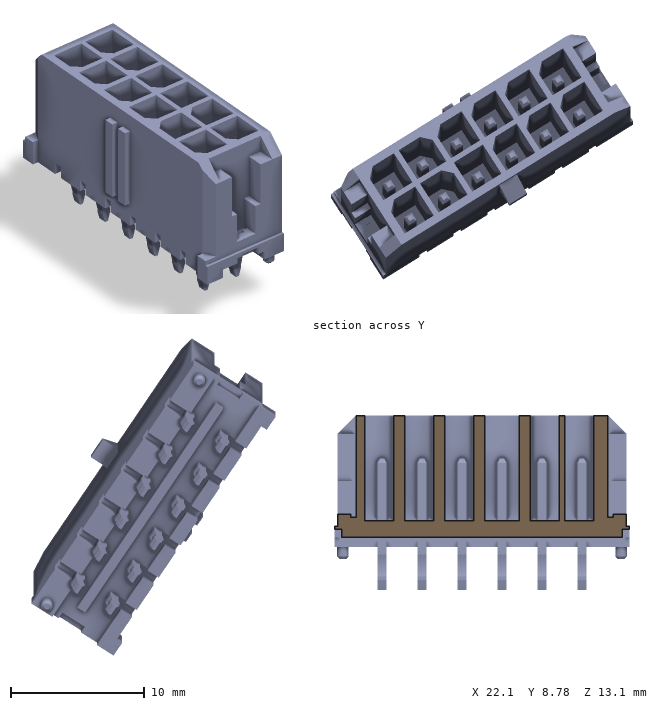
import cadquery as cq


columns = 6
row_length = 15.0
pitch = row_length / (columns - 1)
row_y = pitch / 2

overall_length = 22.15
body_length = 21.68
body_height = 9.9
back_y = 3.37
front_y = -3.5
rib_y = -3.99
body_middle_y = (back_y + front_y) / 2
shoulder_z = 8.5
end_chamfer = body_height - shoulder_z
core_half_length = body_length / 2 - end_chamfer
foot_height = 1.6

bevel_length_x = 0.95
bevel_length_y = 0.53
post_height = 2.0
post_inner_x = body_length / 2 - bevel_length_x

rib_width = 0.82
rib_spacing = 1.53

latch_width = 1.55
latch_reach = 1.42
latch_top = 9.45
latch_lip_top = 8.1
latch_lip_bottom = 7.38
latch_root_bevel = 0.38

end_notch_width = 5.0
upper_slot_width = 2.77
upper_slot_floor = 4.96
lower_slot_width = 1.77
lower_slot_floor = 2.48
pocket_depth = 0.4
pocket_tongue_depth = 0.66
pocket_tongue_width = 0.8
pocket_floor = 2.28
foot_slot_width = 2.02
foot_slot_top = 1.33
foot_slot_depth = 0.53

recess_height = 0.73
recess_back_y = 1.5
recess_front_y = -2.5
keel_width = 0.69
keel_y = -0.02
pin_slot_top = 0.97

cavity_size_x = 2.57
cavity_size_y = 2.61
cavity_shift_y = -0.05
cavity_floor = 2.0
cavity_chamfer = 0.69
back_row_keys = [1, 1, 1, 0, -1, 1]
front_row_keys = [1, 1, 1, 1, -1, 1]

pin_size = 0.69
pin_top = 6.65
pin_tip_height = 0.33
pin_tip_size = 0.33
tail_bottom = -3.2
tail_taper_start = -2.45
bulge_top = -0.55
bulge_bottom = -2.2
bulge = 0.13
tail_end_width = 0.27

peg_x = 10.43
peg_y = 2.41
peg_diameter = 0.86
peg_length = 0.89
peg_chamfer = 0.2


def block(x0, x1, y0, y1, z0, z1):
    """Box between two opposite corners."""
    box = cq.Workplane("XY").box(x1 - x0, y1 - y0, z1 - z0, centered=False)
    return box.translate((x0, y0, z0))


def centred_block(length, y0, y1, z0, z1):
    """Box symmetric about X = 0."""
    return block(-length / 2, length / 2, y0, y1, z0, z1)


def both_ends(shape):
    """The shape together with its mirror image at the other end."""
    return shape.union(shape.mirror("YZ"))


def column_x(column):
    """X of a contact column, counted from the left."""
    return (column - (columns - 1) / 2) * pitch


def housing_block():
    """Body with sloped ends, bevelled front corners, foot plates and corner posts."""
    body = centred_block(body_length, front_y, back_y, 0, body_height)
    body = body.faces(">Z").edges("|Y").chamfer(end_chamfer)
    bevel = (
        cq.Workplane("XY")
        .moveTo(post_inner_x, front_y)
        .lineTo(body_length / 2, front_y)
        .lineTo(body_length / 2, front_y + bevel_length_y)
        .close()
        .extrude(body_height)
    )
    body = body.cut(both_ends(bevel))
    post = block(post_inner_x, body_length / 2, rib_y, front_y + bevel_length_y, 0, post_height)
    foot = block(post_inner_x, overall_length / 2, rib_y, back_y, 0, foot_height)
    return body.union(both_ends(post.union(foot)))


def front_ribs():
    """Pair of upright polarising ribs."""
    inner_x = (rib_spacing - rib_width) / 2
    rib = block(inner_x, inner_x + rib_width, rib_y, front_y, post_height, shoulder_z)
    return both_ends(rib)


def latch():
    """Ramped catch with a bevelled root."""
    return (
        cq.Workplane("YZ")
        .moveTo(back_y, latch_top)
        .lineTo(back_y + latch_reach, latch_lip_top)
        .lineTo(back_y + latch_reach, latch_lip_bottom)
        .lineTo(back_y + latch_root_bevel, latch_lip_bottom)
        .lineTo(back_y, latch_lip_bottom - latch_root_bevel)
        .close()
        .extrude(latch_width / 2, both=True)
    )


def end_slots():
    """Stepped slot in each end with a keyed pocket in its floor, and a shallow notch in the foot below."""

    def slot(depth_start, depth_end, width, z0, z1):
        y0 = body_middle_y - width / 2
        return block(depth_start, depth_end, y0, y0 + width, z0, z1)

    x_in = core_half_length
    x_out = overall_length / 2
    cut = slot(x_in, x_out, end_notch_width, shoulder_z, body_height)
    cut = cut.union(slot(x_in, x_out, upper_slot_width, upper_slot_floor, body_height))
    cut = cut.union(slot(x_in, x_out, lower_slot_width, lower_slot_floor, body_height))
    cut = cut.union(slot(x_in, x_in + pocket_depth, lower_slot_width, pocket_floor, body_height))
    tongue_x = x_in + pocket_tongue_depth
    cut = cut.union(slot(x_in, tongue_x, pocket_tongue_width, pocket_floor, lower_slot_floor))
    cut = cut.union(slot(x_out - foot_slot_depth, x_out, foot_slot_width, 0, foot_slot_top))
    return both_ends(cut)


def underside_recess():
    """Channel along the underside, with one clearance slot per contact at the front and back."""
    recess = centred_block(overall_length, recess_front_y, recess_back_y, 0, recess_height)
    keel_front = keel_y - keel_width / 2
    keel = centred_block(2 * core_half_length, keel_front, keel_front + keel_width, 0, recess_height)
    recess = recess.cut(keel)
    for column in range(columns):
        x = column_x(column)
        for y0, y1 in ((front_y, -row_y), (row_y, back_y)):
            recess = recess.union(block(x - pin_size / 2, x + pin_size / 2, y0, y1, 0, pin_slot_top))
    return recess


def cavity(x, y, key):
    """Square pocket with one front corner filled in by a wedge, unless key is 0."""
    half_x = cavity_size_x / 2
    front = y - cavity_size_y / 2
    pocket = block(x - half_x, x + half_x, front, front + cavity_size_y, cavity_floor, body_height)
    if key:
        corner_x = x + key * half_x
        wedge = (
            cq.Workplane("XY", origin=(0, 0, cavity_floor))
            .moveTo(corner_x, front)
            .lineTo(corner_x, front + cavity_chamfer)
            .lineTo(corner_x - key * cavity_chamfer, front)
            .close()
            .extrude(body_height - cavity_floor)
        )
        pocket = pocket.cut(wedge)
    return pocket


def contact():
    """Back-row contact at X = 0: square pin with a blunt pyramid tip and a bowed, tapered tail."""
    outer = row_y + pin_size / 2
    inner = row_y - pin_size / 2
    tip_base = pin_top - pin_tip_height
    bulge_middle = (bulge_top + bulge_bottom) / 2
    shaft = (
        cq.Workplane("YZ")
        .moveTo(inner, tip_base)
        .lineTo(outer, tip_base)
        .lineTo(outer, bulge_top)
        .threePointArc((outer + bulge, bulge_middle), (outer, bulge_bottom))
        .lineTo(outer, tail_taper_start)
        .lineTo(row_y + tail_end_width / 2, tail_bottom)
        .lineTo(row_y - tail_end_width / 2, tail_bottom)
        .lineTo(inner, tail_taper_start)
        .lineTo(inner, bulge_bottom)
        .threePointArc((inner + bulge, bulge_middle), (inner, bulge_top))
        .close()
        .extrude(pin_size / 2, both=True)
    )
    tip = (
        cq.Workplane("XY", origin=(0, row_y, tip_base))
        .rect(pin_size, pin_size)
        .workplane(offset=pin_tip_height)
        .rect(pin_tip_size, pin_tip_size)
        .loft()
    )
    return shaft.union(tip)


def pegs():
    """Round locating peg with a chamfered end under each foot."""
    peg = (
        cq.Workplane("XY", origin=(peg_x, peg_y, 0))
        .circle(peg_diameter / 2)
        .extrude(-peg_length)
        .faces("<Z")
        .chamfer(peg_chamfer)
    )
    return both_ends(peg)


housing = housing_block().union(front_ribs()).union(latch()).cut(end_slots()).cut(underside_recess())
for column in range(columns):
    housing = housing.cut(cavity(column_x(column), row_y + cavity_shift_y, back_row_keys[column]))
    housing = housing.cut(cavity(column_x(column), -row_y + cavity_shift_y, front_row_keys[column]))

back_contact = contact()
front_contact = back_contact.mirror("XZ")
for column in range(columns):
    offset = (column_x(column), 0, 0)
    housing = housing.union(back_contact.translate(offset)).union(front_contact.translate(offset))

result = housing.union(pegs())